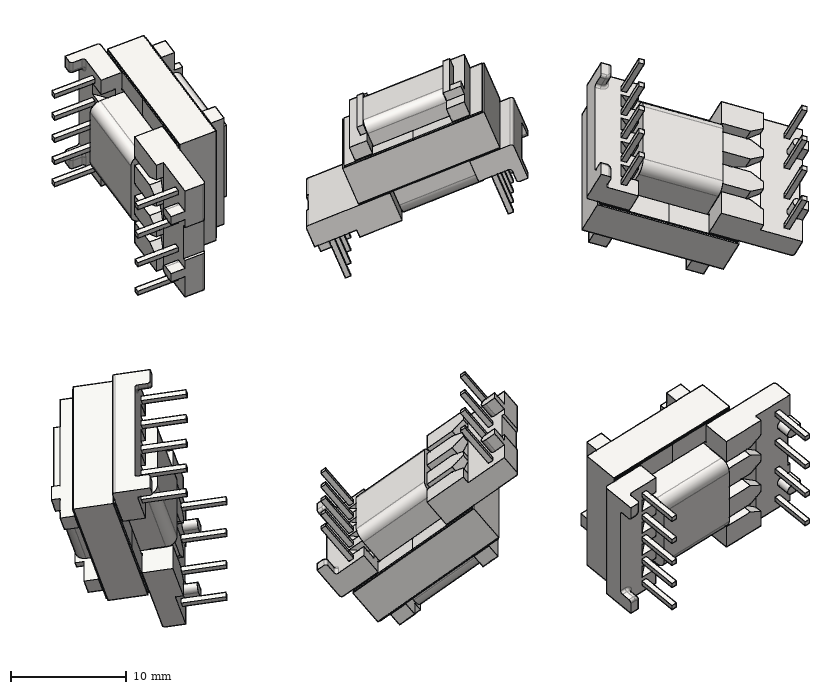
import cadquery as cq
import math


CORE_LENGTH = 12.99
CORE_DEPTH = 3.78
CORE_HEIGHT = 13.1
WINDOW_LENGTH = 8.78
WINDOW_HEIGHT = 8.8
CENTRE_LEG_HEIGHT = 3.6

TAPE_THICKNESS = 0.15
TAPE_WIDTH = 3.55

BOBBIN_HEIGHT = 12.99
BOBBIN_LEFT = -7.8
BOBBIN_RIGHT = 11.7
WINDING_LEFT = -3.72
WINDING_RIGHT = 3.76
FLANGE_OUTER = 4.37
FLANGE_HEIGHT = 8.7
CORE_CLEARANCE = 0.05
TUBE_WALL = 0.5
BACK_END = 4.04
SMALL_RADIUS = 0.25

REAR_BAR_END = 3.24
REAR_BAR_OUTER = 5.4
LOCATING_TAB_END = 4.02
LOCATING_TAB_HEIGHT = 1.45

PLATE_FACE = -3.98
FOOT_END = -5.35
FOOT_LENGTH = 1.01
FOOT_HEIGHT = 1.5
FOOT_CORNER_RADIUS = 0.5
STANDOFF_RADIUS = 0.5
STANDOFF_CENTRE_X = 10.72
END_NOTCH_DEPTH = 0.25
END_NOTCH_HEIGHT = 4.02

GUIDE_FACE = -4.68
GUIDE_END = 7.75
FLARE_START = 6.51
FLARE_GROWTH = 0.75
OUTER_GROOVE_HALF = 0.49
MIDDLE_GROOVE_HALF = 0.75
GROOVE_FLOOR_ANGLE = 20.0
WIRE_SLOT_HEIGHT = 1.33
WIRE_SLOT_ANGLE = 41.0

PIN_WIDTH = 0.5
PIN_END = -7.95
LEFT_PIN_X = -5.09
LEFT_PIN_COUNT = 5
LEFT_PIN_PITCH = 2.71
RIGHT_PIN_X = 10.22
RIGHT_PIN_COUNT = 4
RIGHT_PIN_PITCH = 3.5

WINDING_HEIGHT = 8.07
WINDING_FRONT = -5.05
WINDING_RADIUS = 1.0

CAVITY_HALF_DEPTH = CORE_DEPTH / 2 + CORE_CLEARANCE
CAVITY_HALF_HEIGHT = CENTRE_LEG_HEIGHT / 2 + CORE_CLEARANCE
TUBE_HALF_DEPTH = CAVITY_HALF_DEPTH + TUBE_WALL
TUBE_HALF_HEIGHT = CAVITY_HALF_HEIGHT + TUBE_WALL
PLATE_BACK = -CAVITY_HALF_DEPTH
HALF_HEIGHT = BOBBIN_HEIGHT / 2
FOOT_INNER_X = BOBBIN_LEFT + FOOT_LENGTH
FOOT_INNER_Z = HALF_HEIGHT - FOOT_HEIGHT

SELECT_MARGIN = 0.02


def block(x_range, y_range, z_range):
    """Box between two limits on each axis, given in either order."""
    ranges = (x_range, y_range, z_range)
    size = [abs(end - start) for start, end in ranges]
    low_corner = tuple(min(limits) for limits in ranges)
    return cq.Workplane("XY").box(*size, centered=False).translate(low_corner)


def centred_range(width, centre=0.0):
    """Limits of a width on both sides of a centre."""
    return (centre - width / 2, centre + width / 2)


def spaced(count, pitch):
    """Evenly spaced positions, symmetric about zero."""
    return [(i - (count - 1) / 2) * pitch for i in range(count)]


def make_core_half(side):
    """E-shaped core half; side is -1 for the left half and +1 for the right half."""
    body = block((0, side * CORE_LENGTH / 2), centred_range(CORE_DEPTH), centred_range(CORE_HEIGHT))
    window = block((0, side * WINDOW_LENGTH / 2), centred_range(CORE_DEPTH), centred_range(WINDOW_HEIGHT))
    leg = block((0, side * WINDOW_LENGTH / 2), centred_range(CORE_DEPTH), centred_range(CENTRE_LEG_HEIGHT))
    return body.cut(window.cut(leg))


def make_tape():
    """Thin band around the outside of both core halves."""
    outer_length = CORE_LENGTH + 2 * TAPE_THICKNESS
    outer_height = CORE_HEIGHT + 2 * TAPE_THICKNESS
    width = centred_range(TAPE_WIDTH)
    outer = block(centred_range(outer_length), width, centred_range(outer_height))
    return outer.cut(block(centred_range(CORE_LENGTH), width, centred_range(CORE_HEIGHT)))


def make_winding():
    """Rounded block of wire that fills the bobbin between its flanges."""
    length = (WINDING_LEFT, WINDING_RIGHT)
    coil = block(length, (WINDING_FRONT, BACK_END), centred_range(WINDING_HEIGHT))
    coil = coil.edges("|X").fillet(WINDING_RADIUS)
    return coil.cut(tube_outer())


def tube_outer():
    """Outside of the bobbin tube, which also fills the inside of the winding."""
    return block(
        (WINDING_LEFT, WINDING_RIGHT),
        centred_range(2 * TUBE_HALF_DEPTH),
        centred_range(2 * TUBE_HALF_HEIGHT),
    )


def leg_passage():
    """Opening through the tube and both flanges for the core's centre leg."""
    return block(
        centred_range(2 * FLANGE_OUTER),
        centred_range(2 * CAVITY_HALF_DEPTH),
        centred_range(2 * CAVITY_HALF_HEIGHT),
    )


def make_flange(inner_face, side):
    """Flange inside the core window, with the bar behind the core."""
    flange = block(
        (inner_face, side * FLANGE_OUTER),
        (PLATE_BACK, BACK_END),
        centred_range(FLANGE_HEIGHT),
    )
    bar = block(
        (inner_face, side * REAR_BAR_OUTER),
        (CAVITY_HALF_DEPTH, REAR_BAR_END),
        centred_range(BOBBIN_HEIGHT),
    )
    return flange.union(bar)


def make_locating_tab():
    """Tab that widens the lower end of the left rear flange."""
    bottom = -FLANGE_HEIGHT / 2
    return block(
        (-REAR_BAR_OUTER, -FLANGE_OUTER),
        (CAVITY_HALF_DEPTH, LOCATING_TAB_END),
        (bottom, bottom + LOCATING_TAB_HEIGHT),
    )


def make_foot():
    """Foot at the upper end of the left plate, rounded on its inner corner and around its tip."""
    foot = block((BOBBIN_LEFT, FOOT_INNER_X), (FOOT_END, PLATE_FACE), (FOOT_INNER_Z, HALF_HEIGHT))
    foot = foot.edges("|Y and >X and <Z").fillet(FOOT_CORNER_RADIUS)
    return foot.faces("<Y").edges("not (<X or >Z)").fillet(SMALL_RADIUS)


def make_left_plate():
    """Front plate at the left, with a foot at each end and wire slots between its pins."""
    plate = block((BOBBIN_LEFT, WINDING_LEFT), (PLATE_FACE, PLATE_BACK), centred_range(BOBBIN_HEIGHT))
    plate = plate.edges("|Z and >Y and <X").fillet(SMALL_RADIUS)
    foot = make_foot()
    plate = plate.union(foot).union(foot.mirror("XY"))

    foot_roots = cq.selectors.BoxSelector(
        (BOBBIN_LEFT - SELECT_MARGIN, PLATE_FACE - SELECT_MARGIN, -HALF_HEIGHT),
        (FOOT_INNER_X + SELECT_MARGIN, PLATE_FACE + SELECT_MARGIN, HALF_HEIGHT),
    )
    plate = plate.edges(foot_roots).edges("not <X").fillet(SMALL_RADIUS)

    for z in spaced(LEFT_PIN_COUNT - 1, LEFT_PIN_PITCH):
        plate = plate.cut(wire_slot(z))
    return plate


def wire_slot(z):
    """Slot that starts at the outer side of the pins and slopes down towards the winding."""
    start = LEFT_PIN_X - PIN_WIDTH / 2
    depth = (WINDING_LEFT - start) * math.tan(math.radians(WIRE_SLOT_ANGLE))
    profile = [(start, PLATE_FACE), (WINDING_LEFT, PLATE_FACE), (WINDING_LEFT, PLATE_FACE + depth)]
    plane = cq.Workplane("XY", origin=(0, 0, z - WIRE_SLOT_HEIGHT / 2))
    return plane.polyline(profile).close().extrude(WIRE_SLOT_HEIGHT)


def make_right_plate():
    """Front plate at the right, with the raised wire guides and two standoffs."""
    plate = block((WINDING_RIGHT, BOBBIN_RIGHT), (PLATE_FACE, PLATE_BACK), centred_range(BOBBIN_HEIGHT))
    plate = plate.edges("|Z and >Y and >X").fillet(SMALL_RADIUS)
    guides = block((WINDING_RIGHT, GUIDE_END), (GUIDE_FACE, PLATE_FACE), centred_range(BOBBIN_HEIGHT))
    plate = plate.union(guides)
    for z in (-RIGHT_PIN_PITCH, RIGHT_PIN_PITCH):
        plate = plate.cut(wire_groove(z, OUTER_GROOVE_HALF))
        plate = plate.union(standoff(z))
    plate = plate.cut(wire_groove(0, MIDDLE_GROOVE_HALF))
    notch = block(
        (BOBBIN_RIGHT - END_NOTCH_DEPTH, BOBBIN_RIGHT),
        (PLATE_FACE, PLATE_BACK),
        centred_range(END_NOTCH_HEIGHT),
    )
    return plate.cut(notch)


def wire_groove(z, half):
    """Flared groove between the guides, with a floor that slopes down towards the winding."""
    wide = half + FLARE_GROWTH
    outline = [
        (WINDING_RIGHT, z - half),
        (FLARE_START, z - half),
        (GUIDE_END, z - wide),
        (GUIDE_END, z + wide),
        (FLARE_START, z + half),
        (WINDING_RIGHT, z + half),
    ]
    groove = (
        cq.Workplane("XZ", origin=(0, PLATE_BACK, 0))
        .polyline(outline)
        .close()
        .extrude(PLATE_BACK - GUIDE_FACE)
    )
    floor_drop = (GUIDE_END - WINDING_RIGHT) * math.tan(math.radians(GROOVE_FLOOR_ANGLE))
    profile = [
        (WINDING_RIGHT, GUIDE_FACE),
        (GUIDE_END, GUIDE_FACE),
        (GUIDE_END, PLATE_FACE),
        (WINDING_RIGHT, PLATE_FACE + floor_drop),
    ]
    plane = cq.Workplane("XY", origin=(0, 0, -HALF_HEIGHT))
    return groove.intersect(plane.polyline(profile).close().extrude(BOBBIN_HEIGHT))


def standoff(z):
    """Round-ended standoff that runs out at the right end of the plate."""
    bar = block(
        (STANDOFF_CENTRE_X, BOBBIN_RIGHT),
        (FOOT_END, PLATE_FACE),
        centred_range(2 * STANDOFF_RADIUS, z),
    )
    nose = (
        cq.Workplane("XZ", origin=(STANDOFF_CENTRE_X, PLATE_FACE, z))
        .circle(STANDOFF_RADIUS)
        .extrude(PLATE_FACE - FOOT_END)
    )
    return bar.union(nose)


def make_pin(x, z):
    """Square pin that stands on the plate face."""
    return block(centred_range(PIN_WIDTH, x), (PIN_END, PLATE_FACE), centred_range(PIN_WIDTH, z))


def make_bobbin():
    """Moulded bobbin in one piece with its pins."""
    body = tube_outer()
    body = body.union(make_flange(WINDING_LEFT, -1))
    body = body.union(make_flange(WINDING_RIGHT, 1))
    body = body.union(make_left_plate())
    body = body.union(make_right_plate())
    body = body.union(make_locating_tab())
    body = body.cut(leg_passage())
    for z in spaced(LEFT_PIN_COUNT, LEFT_PIN_PITCH):
        body = body.union(make_pin(LEFT_PIN_X, z))
    for z in spaced(RIGHT_PIN_COUNT, RIGHT_PIN_PITCH):
        body = body.union(make_pin(RIGHT_PIN_X, z))
    return body


core_halves = [make_core_half(side) for side in (-1, 1)]
tape = make_tape()
winding = make_winding()
bobbin = make_bobbin()

result = cq.Compound.makeCompound(
    [*[half.val() for half in core_halves], tape.val(), winding.val(), bobbin.val()]
)